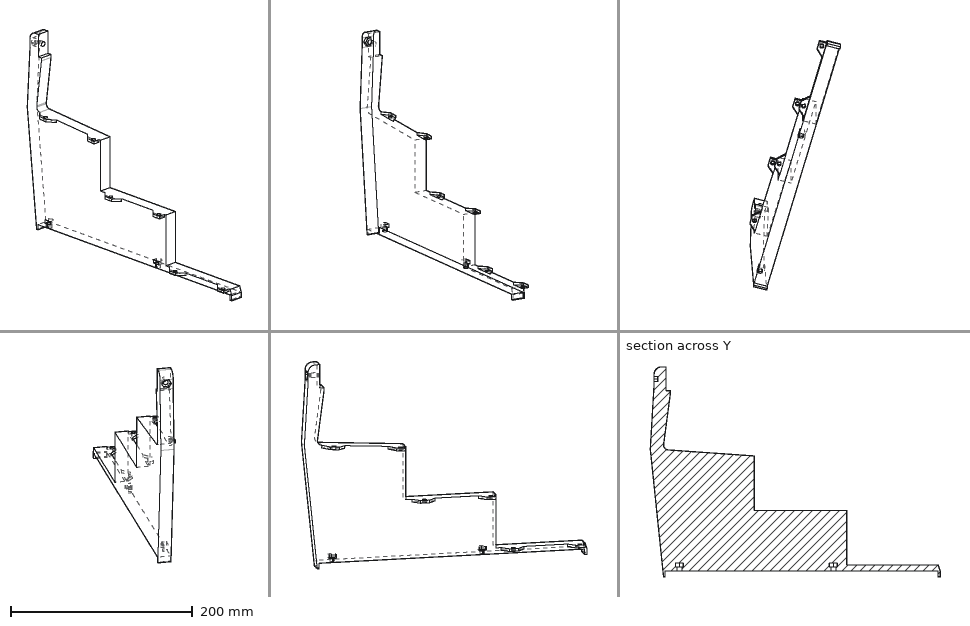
import cadquery as cq
import math

LENGTH = 319.18
HEIGHT = 230.98
THICKNESS = 15.0

LOW_TREAD_RUN = 100.4
TREAD_RUN = 102.0
STEP_RISE = 60.0
LOW_TREAD_Z = 13.0
NOSE_X = 316.9
TOP_TREAD_TILT = 4.0

LIP_HEIGHT = 6.2
REAR_LIP_WIDTH = 2.0
FRONT_LIP_WIDTH = 2.8

HEEL_X = 14.6
KNEE_Z = 140.5
BACK_X = 4.2
UPRIGHT_START_Z = 211.4
TOP_ROUND_RADIUS = 8.4
HEAD_FRONT_X = 17.5
SHELF_X = 22.3
SHELF_Z = 204.6
SHELF_LIP = 3.5
LUMBAR_X = 15.0
LUMBAR_Z = 146.0
SEAT_CORNER_RADIUS = 5.0

TAB_REACH = 8.0
TAB_THICKNESS = 3.0
TAB_ROOT = 3.0
TAB_EDGE_LENGTH = 10.0
FRONT_TAB_START = 2.0
REAR_TAB_START = 77.0
TAB_HOLE_DIAMETER = 4.3
TAB_HOLE_FROM_EDGE = 4.0

BOLT_DIAMETER = 5.3
FOOT_NUT_FLATS = 8.4
FOOT_NUT_CORNERS = FOOT_NUT_FLATS / math.cos(math.radians(30))
FOOT_NUT_HEIGHT = 4.0
FOOT_NUT_Z = 11.0
FOOT_BOLT_Y = 2.6
FOOT_BOLT_X = 32.1
FOOT_BOLT_SPACING = 169.3
HEAD_BOLT_Z = 217.6
HEAD_NUT_FLATS = 9.2
HEAD_NUT_CORNERS = HEAD_NUT_FLATS / math.cos(math.radians(30))
HEAD_NUT_DEPTH = 4.0

low_nose = (NOSE_X, LOW_TREAD_Z)
middle_nose = (NOSE_X - LOW_TREAD_RUN, LOW_TREAD_Z + STEP_RISE)
top_nose = (middle_nose[0] - TREAD_RUN, LOW_TREAD_Z + 2 * STEP_RISE)


def make_body():
    """Side plate: backrest, three treads and a lipped foot."""
    tilt_slope = math.tan(math.radians(TOP_TREAD_TILT))
    seat_corner = (LUMBAR_X, top_nose[1] + (top_nose[0] - LUMBAR_X) * tilt_slope)
    round_start = (BACK_X, HEIGHT - TOP_ROUND_RADIUS)
    round_end = (BACK_X + TOP_ROUND_RADIUS, HEIGHT)
    round_inset = TOP_ROUND_RADIUS * (1 - math.sqrt(0.5))
    round_middle = (BACK_X + round_inset, HEIGHT - round_inset)
    heel_lip_x = HEEL_X + REAR_LIP_WIDTH
    toe_lip_x = LENGTH - FRONT_LIP_WIDTH

    outline = (
        cq.Workplane("XZ")
        .moveTo(HEEL_X, 0)
        .lineTo(0, KNEE_Z)
        .lineTo(BACK_X, UPRIGHT_START_Z)
        .lineTo(*round_start)
        .threePointArc(round_middle, round_end)
        .lineTo(HEAD_FRONT_X, HEIGHT)
        .lineTo(HEAD_FRONT_X, SHELF_Z)
        .lineTo(SHELF_X, SHELF_Z)
        .lineTo(SHELF_X, SHELF_Z - SHELF_LIP)
        .lineTo(LUMBAR_X, LUMBAR_Z)
        .lineTo(*seat_corner)
        .lineTo(*top_nose)
        .lineTo(top_nose[0], middle_nose[1])
        .lineTo(*middle_nose)
        .lineTo(middle_nose[0], low_nose[1])
        .lineTo(*low_nose)
        .lineTo(LENGTH, LIP_HEIGHT)
        .lineTo(LENGTH, 0)
        .lineTo(toe_lip_x, 0)
        .lineTo(toe_lip_x, LIP_HEIGHT)
        .lineTo(heel_lip_x, LIP_HEIGHT)
        .lineTo(heel_lip_x, 0)
        .close()
    )
    body = outline.extrude(-THICKNESS)
    seat_edge = cq.selectors.NearestToPointSelector((seat_corner[0], THICKNESS / 2, seat_corner[1]))
    return body.edges("|Y").edges(seat_edge).fillet(SEAT_CORNER_RADIUS)


def make_tab(start, front_flare):
    """Flat screw tab whose upper face lies on Z = 0, with the tread nose at X = 0."""
    end = start + TAB_EDGE_LENGTH
    tab = (
        cq.Workplane("XY")
        .moveTo(-start + front_flare, 0)
        .lineTo(-start, -TAB_REACH)
        .lineTo(-end, -TAB_REACH)
        .lineTo(-end - TAB_REACH, 0)
        .lineTo(-end - TAB_REACH, TAB_ROOT)
        .lineTo(-start + front_flare, TAB_ROOT)
        .close()
        .extrude(-TAB_THICKNESS)
    )
    hole = (
        cq.Workplane("XY")
        .center(-start - TAB_EDGE_LENGTH / 2, TAB_HOLE_FROM_EDGE - TAB_REACH)
        .circle(TAB_HOLE_DIAMETER / 2)
        .extrude(-TAB_THICKNESS)
    )
    return tab.cut(hole)


def make_tread_tabs(nose, tilt):
    """Square-ended tab near the nose and a doubly flared tab at the rear of one tread."""
    tabs = make_tab(FRONT_TAB_START, 0).union(make_tab(REAR_TAB_START, TAB_REACH))
    return tabs.rotate((0, 0, 0), (0, 1, 0), tilt).translate((nose[0], 0, nose[1]))


def make_foot_bolt(x):
    """Vertical bolt hole, open to the side face, with a nut pocket above the foot."""
    hole = (
        cq.Workplane("XY")
        .center(x, FOOT_BOLT_Y)
        .circle(BOLT_DIAMETER / 2)
        .extrude(FOOT_NUT_Z)
    )
    nut = (
        cq.Workplane("XY", origin=(x, FOOT_BOLT_Y, FOOT_NUT_Z))
        .transformed(rotate=(0, 0, 90))
        .polygon(6, FOOT_NUT_CORNERS)
        .extrude(FOOT_NUT_HEIGHT)
    )
    return hole.union(nut)


def make_head_bolt():
    """Bolt hole through the head of the backrest, with a nut pocket in its rear face."""
    rear_face = cq.Workplane("YZ", origin=(BACK_X, THICKNESS / 2, HEAD_BOLT_Z))
    hole = rear_face.circle(BOLT_DIAMETER / 2).extrude(HEAD_FRONT_X - BACK_X)
    nut = rear_face.polygon(6, HEAD_NUT_CORNERS).extrude(HEAD_NUT_DEPTH)
    return hole.union(nut)


result = make_body()
for tread_nose, tread_tilt in ((low_nose, 0), (middle_nose, 0), (top_nose, TOP_TREAD_TILT)):
    result = result.union(make_tread_tabs(tread_nose, tread_tilt))
for bolt_x in (FOOT_BOLT_X, FOOT_BOLT_X + FOOT_BOLT_SPACING):
    result = result.cut(make_foot_bolt(bolt_x))
result = result.cut(make_head_bolt())